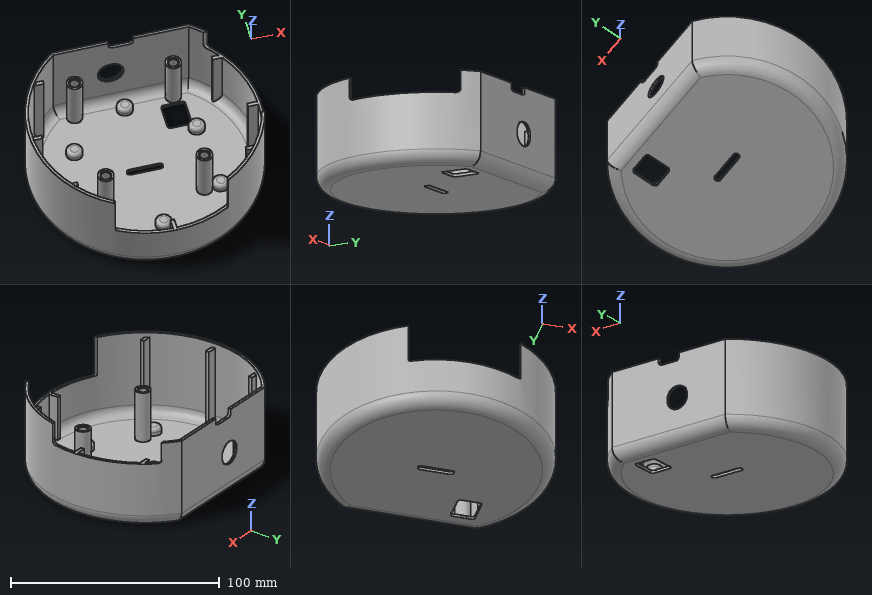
import cadquery as cq
import math

outer_radius = 57.4
back_flat_y = 46.2
height = 45.5
wall = 1.5
inner_corner_radius = 5.0
outer_corner_radius = inner_corner_radius + wall
inner_radius = outer_radius - wall

post_diameter = 7.7
post_hole_diameter = 4.5
post_hole_chamfer = 0.52
post_top = 28.0
post_x = 24.4
post_back_y = 39.1
post_front_y = -18.9

stud_diameter = 8.0
stud_height = 4.0
stud_rounding = 2.0
stud_positions = [
    (0, 37.5),
    (0, -34.9),
    (-30.3, 17.5),
    (30.3, 17.5),
    (-32.5, -18.7),
    (32.5, -18.7),
]

rib_thickness = 2.0
rib_top = height - 2.5
rib_tip_radius = inner_radius - inner_corner_radius
side_rib_tip_x = 41.8
side_rib_y = 31.9

front_window_width = 55.9
front_window_bottom = 24.8
front_window_rounding = 1.0
front_window_reach = 17.2
side_window_front_y = -14.2
side_window_back_y = 39.7
side_window_bottom = 34.4
side_window_rounding = 2.0
side_window_reach = 28.7
back_notch_width = 12.3
back_notch_depth = 3.9
back_notch_rounding = 2.0
cable_hole_diameter = 12.0
cable_hole_x = -5.0
cable_hole_z = 22.5
cable_hole_chamfer = 0.5

floor_opening_rounding = 1.5
port_length_x = 11.9
port_length_y = 14.2
port_x = 23.1
port_y = 28.0
slot_length = 17.8
slot_width = 3.2


def flatted_disc(radius, flat_y, bottom, top):
    """Solid disc whose +Y side is cut flat at flat_y."""
    corner_x = math.sqrt(radius**2 - flat_y**2)
    return (
        cq.Workplane("XY", origin=(0, 0, bottom))
        .moveTo(corner_x, flat_y)
        .threePointArc((0, -radius), (-corner_x, flat_y))
        .close()
        .extrude(top - bottom)
    )


def box_between(x_range, y_range, z_range):
    """Box given by its limits along each axis."""
    sizes = [high - low for low, high in (x_range, y_range, z_range)]
    corner = (x_range[0], y_range[0], z_range[0])
    return cq.Workplane("XY").box(*sizes, centered=False).translate(corner)


def make_cavity():
    cavity = flatted_disc(inner_radius, back_flat_y - wall, wall, height)
    return cavity.faces("<Z").edges().fillet(inner_corner_radius)


def make_ribs():
    half = rib_thickness / 2
    middle = (-half, half)
    z_range = (wall, rib_top)
    ribs = box_between(middle, (-outer_radius, -rib_tip_radius), z_range)
    side_ribs = [
        (0, rib_tip_radius),
        (side_rib_y, side_rib_tip_x),
        (-side_rib_y, side_rib_tip_x),
    ]
    for y, tip_x in side_ribs:
        y_range = (y - half, y + half)
        ribs = ribs.union(box_between((tip_x, outer_radius), y_range, z_range))
        ribs = ribs.union(box_between((-outer_radius, -tip_x), y_range, z_range))
    return ribs


def make_posts(positions):
    return (
        cq.Workplane("XY", origin=(0, 0, wall))
        .pushPoints(positions)
        .circle(post_diameter / 2)
        .extrude(post_top - wall)
    )


def make_post_holes(positions):
    """Blind holes down to the floor, widened by a chamfer at the post tops."""
    bores = (
        cq.Workplane("XY", origin=(0, 0, wall))
        .pushPoints(positions)
        .circle(post_hole_diameter / 2)
        .extrude(post_top - wall)
    )
    mouths = (
        cq.Workplane("XY", origin=(0, 0, post_top))
        .pushPoints(positions)
        .circle(post_hole_diameter / 2 + post_hole_chamfer)
        .extrude(-post_hole_chamfer, taper=45)
    )
    return bores.union(mouths)


def make_studs():
    return (
        cq.Workplane("XY", origin=(0, 0, wall))
        .pushPoints(stud_positions)
        .circle(stud_diameter / 2)
        .extrude(stud_height)
        .faces(">Z")
        .edges()
        .fillet(stud_rounding)
    )


def make_front_window():
    half = front_window_width / 2
    window = box_between(
        (-half, half),
        (-outer_radius, -outer_radius + front_window_reach),
        (front_window_bottom, height),
    )
    return window.edges("|Y and <Z").fillet(front_window_rounding)


def make_side_window():
    window = box_between(
        (outer_radius - side_window_reach, outer_radius),
        (side_window_front_y, side_window_back_y),
        (side_window_bottom, height),
    )
    return window.edges("|X and <Z").fillet(side_window_rounding)


def make_back_notch():
    half = back_notch_width / 2
    notch = box_between(
        (-half, half),
        (back_flat_y - wall, back_flat_y),
        (height - back_notch_depth, height),
    )
    return notch.edges("|Y and <Z").fillet(back_notch_rounding)


def make_cable_hole():
    """Hole through the back wall, chamfered on the inside of the wall."""
    bore = (
        cq.Workplane("XZ", origin=(cable_hole_x, back_flat_y, cable_hole_z))
        .circle(cable_hole_diameter / 2)
        .extrude(wall)
    )
    mouth = (
        cq.Workplane("XZ", origin=(cable_hole_x, back_flat_y - wall, cable_hole_z))
        .circle(cable_hole_diameter / 2 + cable_hole_chamfer)
        .extrude(-cable_hole_chamfer, taper=45)
    )
    return bore.union(mouth)


def make_floor_opening(x, y, length_x, length_y):
    opening = cq.Workplane("XY").box(length_x, length_y, wall, centered=(True, True, False))
    return opening.edges("|Z").fillet(floor_opening_rounding).translate((x, y, 0))


outside = flatted_disc(outer_radius, back_flat_y, 0, height)
outside = outside.faces("<Z").edges().fillet(outer_corner_radius)
cavity = make_cavity()

body = outside.cut(cavity).union(make_ribs().intersect(cavity))

post_positions = [(x, y) for x in (-post_x, post_x) for y in (post_front_y, post_back_y)]
body = body.union(make_studs()).union(make_posts(post_positions)).cut(make_post_holes(post_positions))

body = body.cut(make_front_window()).cut(make_side_window())
body = body.cut(make_back_notch()).cut(make_cable_hole())
body = body.cut(make_floor_opening(port_x, port_y, port_length_x, port_length_y))
body = body.cut(make_floor_opening(0, 0, slot_length, slot_width))

result = body